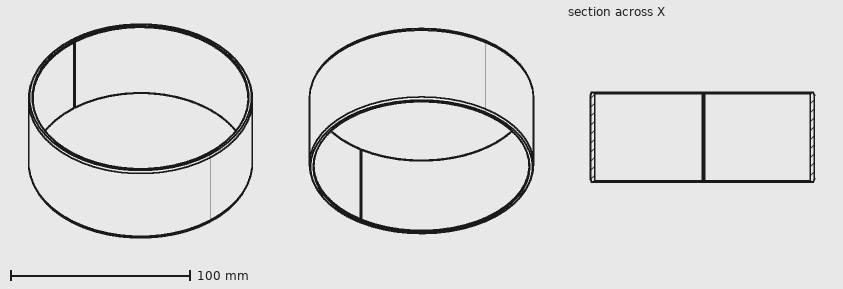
import cadquery as cq

outer_diameter = 125.0
wall = 2.5
height = 50.0

slit_width = 1.0

outer_chamfer_height = 1.8
outer_chamfer_depth = 0.6
inner_chamfer_height = 0.8
inner_chamfer_depth = 0.4

outer_radius = outer_diameter / 2
inner_radius = outer_radius - wall
half_height = height / 2


def sleeve():
    """Revolve the wall section, chamfered at its four corners, about Z."""
    outer_shoulder = half_height - outer_chamfer_height
    inner_shoulder = half_height - inner_chamfer_height
    outer_rim = outer_radius - outer_chamfer_depth
    inner_rim = inner_radius + inner_chamfer_depth
    section = (
        cq.Workplane("XZ")
        .moveTo(inner_radius, -inner_shoulder)
        .lineTo(inner_rim, -half_height)
        .lineTo(outer_rim, -half_height)
        .lineTo(outer_radius, -outer_shoulder)
        .lineTo(outer_radius, outer_shoulder)
        .lineTo(outer_rim, half_height)
        .lineTo(inner_rim, half_height)
        .lineTo(inner_radius, inner_shoulder)
        .close()
    )
    return section.revolve(360, (0, 0, 0), (0, 1, 0))


def slit():
    """Block that cuts the wall through on the -X side."""
    block = cq.Workplane("XY").box(outer_radius, slit_width, height, centered=(False, False, True))
    return block.translate((-outer_radius, 0, 0))


result = sleeve().cut(slit())